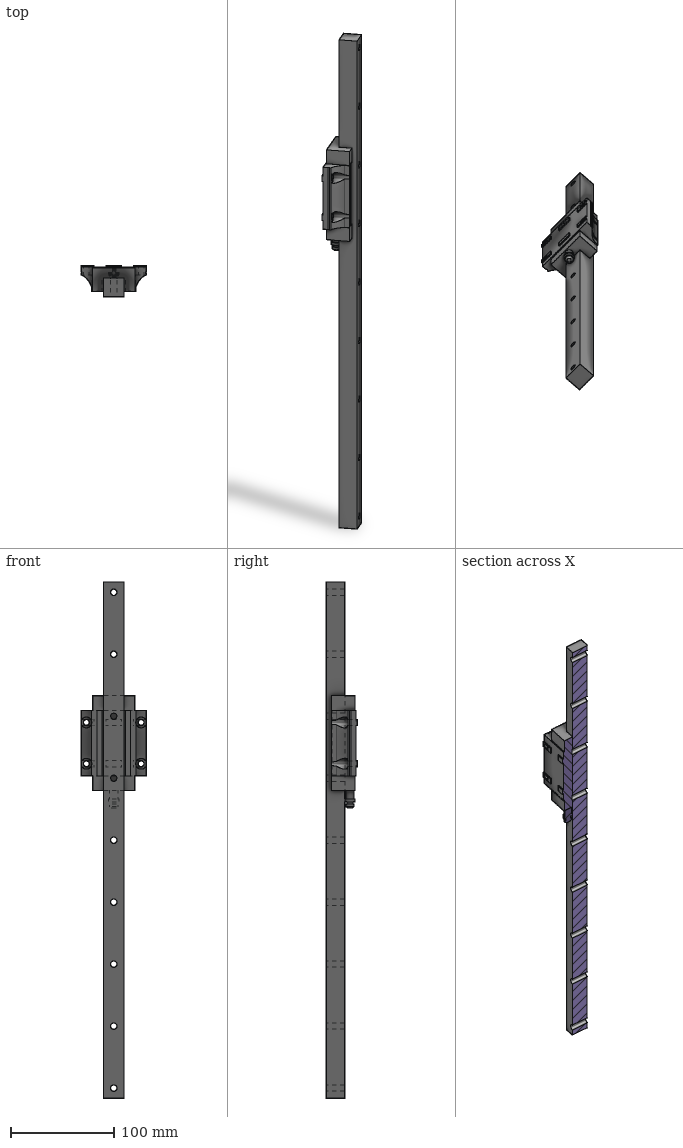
import cadquery as cq

RAIL_LENGTH = 500.0
RAIL_WIDTH = 20.0
RAIL_HEIGHT = 18.0
RAIL_HOLE_DIAMETER = 6.0
RAIL_HOLE_PITCH = 60.0
RAIL_HOLE_COUNT = 9
RAIL_FIRST_HOLE_Z = 10.0

CARRIAGE_CENTER_Z = 344.0
CARRIAGE_LENGTH = 92.0
CARRIAGE_BOTTOM_Y = 5.0
BLOCK_LENGTH = 63.5
CAP_WIDTH = 41.0
CAP_TOP_Y = 28.0
CHANNEL_WIDTH = 23.0

FLANGE_WIDTH = 63.0
FLANGE_TOP_Y = 29.0
FLANGE_BOTTOM_Y = 21.0
FLANGE_LIP = 0.5
EDGE_GROOVE_LOW_Y = 22.5
EDGE_GROOVE_HIGH_Y = 24.0
EDGE_GROOVE_DEPTH = 0.5
WAIST_WIDTH = 43.5
BOTTOM_WIDTH = 43.0
WAIST_Y = 10.0
UNDERCUT_DEPTH = 1.5

RECESS_WIDTH = 32.5
RECESS_DEPTH = 0.5

MOUNT_PITCH_X = 53.0
MOUNT_PITCH_Z = 40.0
MOUNT_HOLE_DIAMETER = 5.5
SPOT_FACE_DIAMETER = 10.5
SPOT_FACE_Y = 21.0
PAD_HEIGHT = 1.15
PAD_TOP_Y = FLANGE_TOP_Y + PAD_HEIGHT
PAD_LENGTH = 6.0
SIDE_PAD_WIDTH = 12.5
CENTER_PAD_WIDTH = 15.0

NIPPLE_Y = 23.0
NIPPLE_NECK_RADIUS = 4.0
NIPPLE_NECK_LENGTH = 8.0
NIPPLE_COLLAR_RADIUS = 5.0
NIPPLE_COLLAR_LENGTH = 3.0
NIPPLE_GROOVE_RADIUS = 3.0
NIPPLE_GROOVE_LENGTH = 2.0
NIPPLE_HEAD_RADIUS = 4.0
NIPPLE_HEAD_LENGTH = 2.5
NIPPLE_TIP_RADIUS = 2.0
NIPPLE_TIP_LENGTH = 1.5


def box_between(width, y_low, y_high, z_low, z_high, x_center=0.0):
    """Box centred on x_center, between the given Y and Z limits."""
    size = (width, y_high - y_low, z_high - z_low)
    corner = (x_center - width / 2, y_low, z_low)
    return cq.Workplane("XY").box(*size, centered=False).translate(corner)


def cylinder_along_y(diameter, x, z, y_low, y_high):
    """Cylinder along Y between two heights."""
    base = cq.Vector(x, y_low, z)
    axis = cq.Vector(0, 1, 0)
    return cq.Workplane(cq.Solid.makeCylinder(diameter / 2, y_high - y_low, base, axis))


def make_rail():
    """Square bar with a row of through holes."""
    rail = box_between(RAIL_WIDTH, 0, RAIL_HEIGHT, 0, RAIL_LENGTH)
    for i in range(RAIL_HOLE_COUNT):
        z = RAIL_FIRST_HOLE_Z + i * RAIL_HOLE_PITCH
        rail = rail.cut(cylinder_along_y(RAIL_HOLE_DIAMETER, 0, z, 0, RAIL_HEIGHT))
    return rail


def make_flanged_block(z_low):
    """Block with two side flanges, hollowed underneath by concave curves.

    Each curve bows inward from its chord by UNDERCUT_DEPTH at the middle.
    """
    lip_x = FLANGE_WIDTH / 2 - FLANGE_LIP
    waist_x = WAIST_WIDTH / 2
    run = lip_x - waist_x
    rise = FLANGE_BOTTOM_Y - WAIST_Y
    chord = (run**2 + rise**2) ** 0.5
    curve_x = (lip_x + waist_x) / 2 - UNDERCUT_DEPTH * rise / chord
    curve_y = (FLANGE_BOTTOM_Y + WAIST_Y) / 2 + UNDERCUT_DEPTH * run / chord
    return (
        cq.Workplane("XY", origin=(0, 0, z_low))
        .moveTo(-FLANGE_WIDTH / 2, FLANGE_TOP_Y)
        .lineTo(-FLANGE_WIDTH / 2, FLANGE_BOTTOM_Y)
        .lineTo(-lip_x, FLANGE_BOTTOM_Y)
        .threePointArc((-curve_x, curve_y), (-waist_x, WAIST_Y))
        .lineTo(-BOTTOM_WIDTH / 2, CARRIAGE_BOTTOM_Y)
        .lineTo(BOTTOM_WIDTH / 2, CARRIAGE_BOTTOM_Y)
        .lineTo(waist_x, WAIST_Y)
        .threePointArc((curve_x, curve_y), (lip_x, FLANGE_BOTTOM_Y))
        .lineTo(FLANGE_WIDTH / 2, FLANGE_BOTTOM_Y)
        .lineTo(FLANGE_WIDTH / 2, FLANGE_TOP_Y)
        .close()
        .extrude(BLOCK_LENGTH)
    )


def make_carriage():
    """Flanged block with end caps, pads, rail channel and mounting holes."""
    z_low = CARRIAGE_CENTER_Z - CARRIAGE_LENGTH / 2
    z_high = CARRIAGE_CENTER_Z + CARRIAGE_LENGTH / 2
    block_low = CARRIAGE_CENTER_Z - BLOCK_LENGTH / 2
    block_high = CARRIAGE_CENTER_Z + BLOCK_LENGTH / 2
    mount_rows = [CARRIAGE_CENTER_Z + side * MOUNT_PITCH_Z / 2 for side in (-1, 1)]

    carriage = make_flanged_block(block_low)
    carriage = carriage.union(box_between(CAP_WIDTH, CARRIAGE_BOTTOM_Y, CAP_TOP_Y, z_low, block_low))
    carriage = carriage.union(box_between(CAP_WIDTH, CARRIAGE_BOTTOM_Y, CAP_TOP_Y, block_high, z_high))

    side_pad_x = (FLANGE_WIDTH - SIDE_PAD_WIDTH) / 2
    pads = [(-side_pad_x, SIDE_PAD_WIDTH), (0, CENTER_PAD_WIDTH), (side_pad_x, SIDE_PAD_WIDTH)]
    for z in mount_rows:
        for x, width in pads:
            pad = box_between(width, FLANGE_TOP_Y, PAD_TOP_Y, z - PAD_LENGTH / 2, z + PAD_LENGTH / 2, x)
            carriage = carriage.union(pad)

    carriage = carriage.cut(box_between(RAIL_WIDTH, 0, RAIL_HEIGHT, z_low, z_high))
    carriage = carriage.cut(box_between(CHANNEL_WIDTH, 0, RAIL_HEIGHT, block_low, block_high))
    recess_top = CARRIAGE_BOTTOM_Y + RECESS_DEPTH
    carriage = carriage.cut(box_between(RECESS_WIDTH, 0, recess_top, block_low, block_high))

    for side in (-1, 1):
        groove_x = side * (FLANGE_WIDTH - EDGE_GROOVE_DEPTH) / 2
        groove = box_between(
            EDGE_GROOVE_DEPTH, EDGE_GROOVE_LOW_Y, EDGE_GROOVE_HIGH_Y, block_low, block_high, groove_x
        )
        carriage = carriage.cut(groove)

    for z in mount_rows:
        for side in (-1, 1):
            x = side * MOUNT_PITCH_X / 2
            carriage = carriage.cut(cylinder_along_y(MOUNT_HOLE_DIAMETER, x, z, 0, PAD_TOP_Y))
            carriage = carriage.cut(cylinder_along_y(SPOT_FACE_DIAMETER, x, z, 0, SPOT_FACE_Y))
    return carriage


def make_nipple():
    """Turned nipple pointing down from the lower end cap."""
    neck_end = -NIPPLE_NECK_LENGTH
    collar_end = neck_end - NIPPLE_COLLAR_LENGTH
    groove_end = collar_end - NIPPLE_GROOVE_LENGTH
    head_end = groove_end - NIPPLE_HEAD_LENGTH
    tip_end = head_end - NIPPLE_TIP_LENGTH
    profile = [
        (0, 0),
        (NIPPLE_NECK_RADIUS, 0),
        (NIPPLE_NECK_RADIUS, neck_end),
        (NIPPLE_COLLAR_RADIUS, neck_end),
        (NIPPLE_COLLAR_RADIUS, collar_end),
        (NIPPLE_GROOVE_RADIUS, collar_end),
        (NIPPLE_GROOVE_RADIUS, groove_end),
        (NIPPLE_HEAD_RADIUS, groove_end),
        (NIPPLE_HEAD_RADIUS, head_end),
        (NIPPLE_TIP_RADIUS, tip_end),
        (0, tip_end),
    ]
    base_z = CARRIAGE_CENTER_Z - CARRIAGE_LENGTH / 2
    return (
        cq.Workplane("XZ")
        .polyline(profile)
        .close()
        .revolve(360, (0, 0, 0), (0, 1, 0))
        .translate((0, NIPPLE_Y, base_z))
    )


rail = make_rail()
carriage = make_carriage()
nipple = make_nipple()

result = cq.Compound.makeCompound([rail.val(), carriage.val(), nipple.val()])